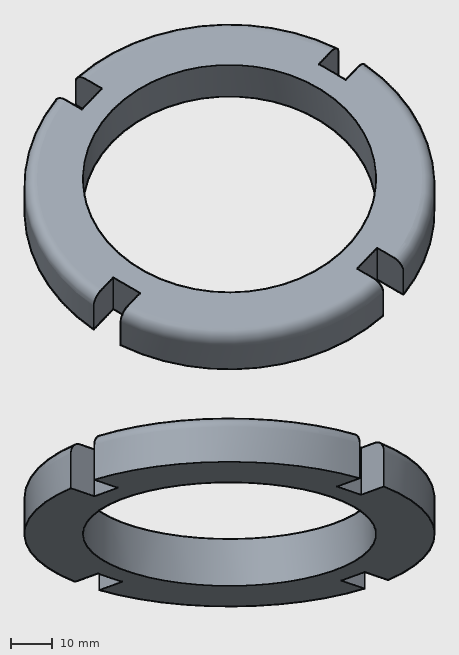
import cadquery as cq

outer_diameter = 98.0
bore_diameter = 70.0
thickness = 12.0
rim_fillet = 3.0

slot_count = 4
slot_width = 8.0
slot_floor_radius = 41.0


def make_ring():
    """Disc with a rounded upper rim and a plain through bore."""
    disc = cq.Workplane("XY").circle(outer_diameter / 2).extrude(thickness)
    disc = disc.faces(">Z").edges().fillet(rim_fillet)
    return disc.faces(">Z").workplane().hole(bore_diameter)


def make_slot_cutter(angle):
    """Full-height block that reaches from the slot floor to beyond the rim."""
    slot_length = outer_diameter - slot_floor_radius
    return (
        cq.Workplane("XY")
        .box(slot_length, slot_width, thickness, centered=(False, True, False))
        .translate((slot_floor_radius, 0, 0))
        .rotate((0, 0, 0), (0, 0, 1), angle)
    )


result = make_ring()
for slot_index in range(slot_count):
    result = result.cut(make_slot_cutter(slot_index * 360.0 / slot_count))